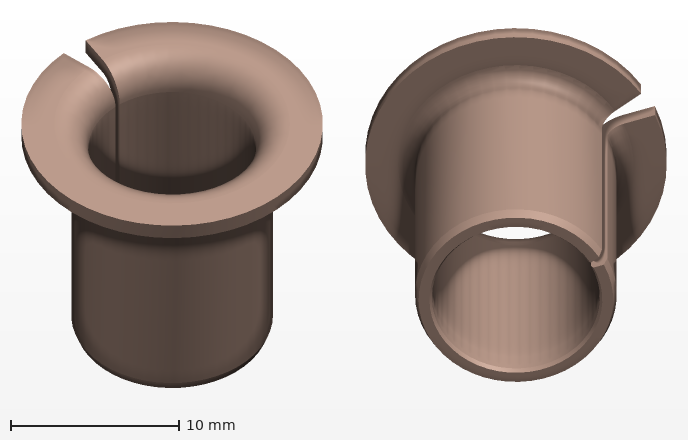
import cadquery as cq
import math

flange_diameter = 17.94
wall = 1.0
height = 16.0
bore_diameter = 10.0
lead_in_height = 0.6
lead_in_angle = 20.0
bore_chamfer_height = 0.25
bore_chamfer_angle = 30.0
slot_apex_distance = 4.05
slot_angle = 20.0

flange_radius = flange_diameter / 2
bore_radius = bore_diameter / 2
sleeve_radius = bore_radius + wall
lead_in_depth = lead_in_height * math.tan(math.radians(lead_in_angle))
bore_chamfer_depth = bore_chamfer_height * math.tan(math.radians(bore_chamfer_angle))

outer_bend_radius = wall
inner_bend_radius = outer_bend_radius + wall
bend_center_radius = bore_radius + inner_bend_radius
bend_center_z = height - inner_bend_radius
diagonal = math.sqrt(0.5)


def bend_midpoint(radius):
    """Middle point of a quarter-circle bend in the radial section."""
    return (bend_center_radius - radius * diagonal, bend_center_z + radius * diagonal)


def flanged_sleeve():
    """Revolve the sleeve, bend and flange, with both lower edges chamfered."""
    section = (
        cq.Workplane("XZ")
        .moveTo(bore_radius, bore_chamfer_height)
        .lineTo(bore_radius + bore_chamfer_depth, 0)
        .lineTo(sleeve_radius - lead_in_depth, 0)
        .lineTo(sleeve_radius, lead_in_height)
        .lineTo(sleeve_radius, bend_center_z)
        .threePointArc(bend_midpoint(outer_bend_radius), (bend_center_radius, height - wall))
        .lineTo(flange_radius, height - wall)
        .lineTo(flange_radius, height)
        .lineTo(bend_center_radius, height)
        .threePointArc(bend_midpoint(inner_bend_radius), (bore_radius, bend_center_z))
        .close()
    )
    sleeve = section.revolve(360, (0, 0, 0), (0, 1, 0))
    return sleeve.rotate((0, 0, 0), (0, 0, 1), 180)


def slot_cutter():
    """Full-height wedge that opens toward -X from an apex inside the bore."""
    end_x = -flange_diameter
    half_width = (-slot_apex_distance - end_x) * math.tan(math.radians(slot_angle / 2))
    corners = [(-slot_apex_distance, 0), (end_x, half_width), (end_x, -half_width)]
    return cq.Workplane("XY").polyline(corners).close().extrude(height)


result = flanged_sleeve().cut(slot_cutter())